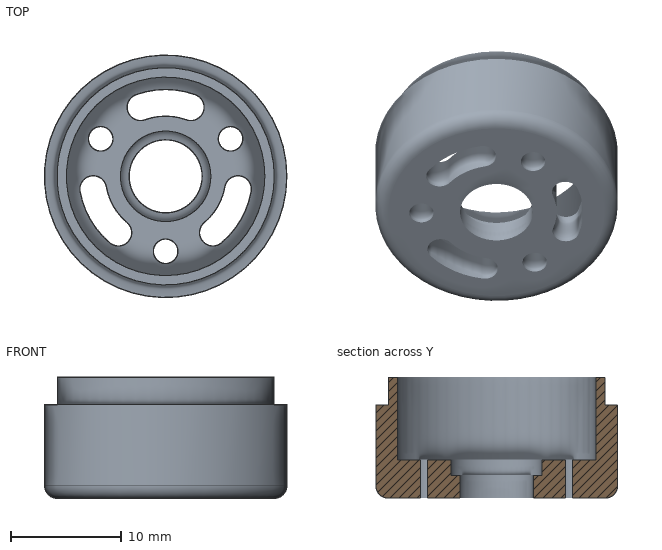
import cadquery as cq
import math

body_diameter = 22.0
total_height = 11.0
rim_height = 2.49
bottom_fillet = 1.19

rim_diameter = 19.7
cup_diameter = 18.0
floor_thickness = 3.5

bore_diameter = 6.6
recess_diameter = 8.2
recess_depth = 1.4

pattern_count = 3
hole_diameter = 2.2
hole_circle_radius = 6.8
first_hole_angle = 30.0
slot_width = 2.4
slot_circle_radius = 6.67
first_slot_angle = 90.0
slot_half_angle = 20.0

pattern_step = 360.0 / pattern_count
body_height = total_height - rim_height


def cylinder(diameter, bottom, height):
    """Solid cylinder on the Z axis."""
    return cq.Workplane("XY").workplane(offset=bottom).circle(diameter / 2).extrude(height)


def floor_hole(angle):
    """Round cutter through the floor."""
    hole = cylinder(hole_diameter, 0, floor_thickness)
    return hole.translate((hole_circle_radius, 0, 0)).rotate((0, 0, 0), (0, 0, 1), angle)


def polar(radius, degrees):
    """Point in the XY plane at the given radius and angle."""
    angle = math.radians(degrees)
    return radius * math.cos(angle), radius * math.sin(angle)


def floor_slot(angle):
    """Arc-shaped cutter through the floor, with round ends."""
    inner_radius = slot_circle_radius - slot_width / 2
    outer_radius = slot_circle_radius + slot_width / 2
    start = angle - slot_half_angle
    end = angle + slot_half_angle
    slot = (
        cq.Workplane("XY")
        .moveTo(*polar(outer_radius, start))
        .threePointArc(polar(outer_radius, angle), polar(outer_radius, end))
        .lineTo(*polar(inner_radius, end))
        .threePointArc(polar(inner_radius, angle), polar(inner_radius, start))
        .close()
        .extrude(floor_thickness)
    )
    for end_angle in (start, end):
        x, y = polar(slot_circle_radius, end_angle)
        slot = slot.union(cylinder(slot_width, 0, floor_thickness).translate((x, y, 0)))
    return slot


result = cylinder(body_diameter, 0, body_height).faces("<Z").edges().fillet(bottom_fillet)
result = result.union(cylinder(rim_diameter, body_height, rim_height))

result = result.cut(cylinder(cup_diameter, floor_thickness, total_height - floor_thickness))
result = result.cut(cylinder(recess_diameter, floor_thickness - recess_depth, recess_depth))
result = result.cut(cylinder(bore_diameter, 0, floor_thickness))

for index in range(pattern_count):
    turn = index * pattern_step
    result = result.cut(floor_hole(first_hole_angle + turn))
    result = result.cut(floor_slot(first_slot_angle + turn))